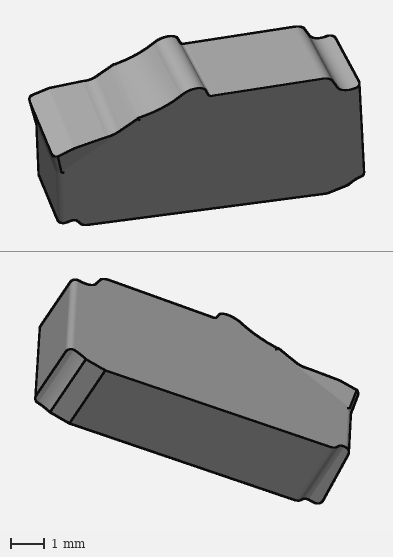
import cadquery as cq
import math

length = 10.33
height = 7.99
body_width = 2.1
edge_width = 2.4
corner_radius = 0.19
lead_angle = 5.0
margin = 2.07
tip_overrun = 1.5

half_body = body_width / 2
lead_slope = math.tan(math.radians(lead_angle))

plateau_z = 7.51
seat_front_z = 3.4
seat_rear_top_z = 4.98
seat_rear_bottom_z = 0.25

tip = (0.09, 7.21)
land_back = (0.79, 7.31)
breaker_front = (1.87, 7.17)
breaker_low = (2.08, 7.14)
breaker_back = (2.37, 7.23)
wall_top = (2.75, 7.43)
wall_crest = (2.85, 7.48)
wall_end = (2.94, plateau_z)
clearance_kink = (0.27, 6.06)
clearance_foot = (0.34, seat_front_z)

flare_front = clearance_kink
flare_back = (2.96, 7.38)


def height_above_flare_line(point):
    """Distance of a (Y, Z) point from the flare line, square to that line."""
    run = flare_back[0] - flare_front[0]
    rise = flare_back[1] - flare_front[1]
    across = (point[1] - flare_front[1]) * run - (point[0] - flare_front[0]) * rise
    return across / math.hypot(run, rise)


flare_gain = (edge_width - body_width) / 2 / height_above_flare_line(tip)


def side_outline():
    """Straight outline of the insert, left oversize at the front and tip."""
    return (
        cq.Workplane("YZ", origin=(-edge_width, 0, 0))
        .moveTo(-margin, seat_front_z)
        .lineTo(-margin, plateau_z)
        .lineTo(3.09, plateau_z)
        .threePointArc((3.66, 7.59), (4.24, 7.86))
        .threePointArc((4.62, height), (5.04, 7.73))
        .lineTo(5.14, 7.4)
        .threePointArc((5.2, 7.31), (5.31, 7.26))
        .lineTo(8.89, 6.08)
        .threePointArc((9.08, 5.98), (9.2, 5.84))
        .lineTo(9.4, 5.31)
        .threePointArc((9.6, 5.08), (9.92, seat_rear_top_z))
        .lineTo(10.18, seat_rear_top_z)
        .lineTo(length, seat_rear_bottom_z)
        .lineTo(10.13, seat_rear_bottom_z)
        .threePointArc((9.95, 0.19), (9.73, 0.05))
        .lineTo(9.05, 0)
        .lineTo(1.15, 2.88)
        .threePointArc((1.02, 2.96), (0.93, 3.1))
        .lineTo(0.85, 3.25)
        .threePointArc((0.74, 3.37), (0.64, seat_front_z))
        .close()
        .extrude(2 * edge_width)
    )


def lead_envelope():
    """Front face, land and chip breaker, swept obliquely at the lead angle."""
    clear_z = height + margin
    start_y = edge_width * lead_slope
    wire = (
        cq.Workplane("YZ", origin=(-edge_width, start_y, 0))
        .moveTo(*clearance_foot)
        .lineTo(*clearance_kink)
        .lineTo(*tip)
        .lineTo(*land_back)
        .lineTo(*breaker_front)
        .threePointArc(breaker_low, breaker_back)
        .lineTo(*wall_top)
        .threePointArc(wall_crest, wall_end)
        .lineTo(wall_end[0], clear_z)
        .lineTo(length + margin, clear_z)
        .lineTo(length + margin, -margin)
        .lineTo(clearance_foot[0], -margin)
        .close()
        .wire()
        .val()
    )
    sweep = cq.Vector(2 * edge_width, -2 * start_y, 0)
    return cq.Workplane(cq.Solid.extrudeLinear(wire, [], sweep))


def flare(side):
    """Wedge that widens the tip on one side (-1 or +1) above the flare line."""
    run = flare_back[0] - flare_front[0]
    rise = flare_back[1] - flare_front[1]
    line_length = math.hypot(run, rise)
    shift = -side * half_body * lead_slope
    plane = cq.Plane(
        origin=(0, flare_back[0] + shift, flare_back[1]),
        xDir=(1, 0, 0),
        normal=(0, -run, -rise),
    )
    top_x = side * (half_body + flare_gain * margin)
    return (
        cq.Workplane(plane)
        .polyline([(0, 0), (side * half_body, 0), (top_x, margin), (0, margin)])
        .close()
        .extrude(line_length + margin)
    )


def front_corner(side, half_width, face_point):
    """Sharp front corner on one side, where the oblique front passes through a (Y, Z) point."""
    return cq.Vector(side * half_width, face_point[0] - side * half_width * lead_slope, face_point[1])


def corner_cutter(side, start, end):
    """Waste outside a rounded corner, swept along the corner edge from start to end."""
    along_front = cq.Vector(-side, side * lead_slope, 0).normalized()
    along_side = cq.Vector(0, 1, 0)
    half_angle = along_front.getAngle(along_side) / 2
    inward = (along_front + along_side).normalized()
    tangent_length = corner_radius / math.tan(half_angle)
    front_end = start + along_front * tangent_length
    side_end = start + along_side * tangent_length
    arc_middle = start + inward * (corner_radius / math.sin(half_angle) - corner_radius)
    outside = start - inward * corner_radius
    edges = [
        cq.Edge.makeThreePointArc(front_end, arc_middle, side_end),
        cq.Edge.makeLine(side_end, outside),
        cq.Edge.makeLine(outside, front_end),
    ]
    return cq.Workplane(cq.Solid.extrudeLinear(cq.Wire.assembleEdges(edges), [], end - start))


slab = cq.Workplane().box(body_width, 2 * length + margin, 2 * length)
widths = slab.union(flare(-1)).union(flare(1))
result = side_outline().intersect(lead_envelope()).intersect(widths)

for side in (-1, 1):
    foot = front_corner(side, half_body, clearance_foot)
    kink = front_corner(side, half_body, clearance_kink)
    edge = front_corner(side, edge_width / 2, tip)
    result = result.cut(corner_cutter(side, foot, kink))
    result = result.cut(corner_cutter(side, kink, kink + (edge - kink) * tip_overrun))

rear_corners = cq.selectors.BoxSelector((-edge_width, 10.23, 2.07), (edge_width, length + 0.1, 3.1))
result = result.edges(rear_corners).edges("not |X").fillet(corner_radius)